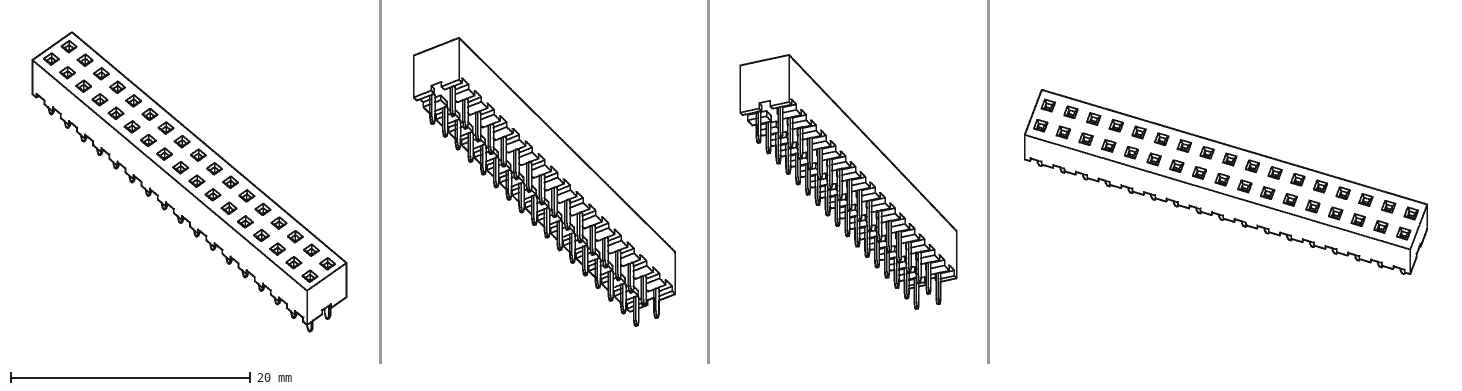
import cadquery as cq

columns = 17
rows = 2
body_length = 34.0
pitch = body_length / columns
body_width = 4.5
body_height = 4.5
total_height = 7.1

groove_width = pitch / 2
groove_depth = 0.5

pin_width = 0.5
pin_thickness = 0.2
tip_width = 0.2
tip_length = 0.5

mouth_size = 0.92
throat_size = 0.5
mouth_depth = 0.2
throat_depth = 0.68

body_bottom = total_height - body_height
groove_ceiling = body_bottom + groove_depth

column_places = [(i - (columns - 1) / 2) * pitch for i in range(columns)]
row_places = [(j - (rows - 1) / 2) * pitch for j in range(rows)]
contact_places = [(x, y) for x in column_places for y in row_places]


def groove(length_x, length_y):
    """Rectangular cutter reaching from the underside up to the groove ceiling."""
    cutter = cq.Workplane("XY").workplane(offset=body_bottom)
    return cutter.rect(length_x, length_y).extrude(groove_depth)


def make_body():
    """Block with one groove under each column and one groove along the middle."""
    body = cq.Workplane("XY").workplane(offset=body_bottom)
    body = body.rect(body_length, body_width).extrude(body_height)
    body = body.cut(groove(body_length, groove_width))
    column_groove = groove(groove_width, body_width)
    for x in column_places:
        body = body.cut(column_groove.translate((x, 0, 0)))
    return body


def cut_sockets(body):
    """Sink a tapered mouth and a straight throat at every contact."""
    mouth = (
        cq.Workplane("XY").workplane(offset=total_height)
        .rect(mouth_size, mouth_size)
        .workplane(offset=-mouth_depth)
        .rect(throat_size, throat_size)
        .loft(ruled=True)
    )
    throat = cq.Workplane("XY").workplane(offset=total_height - mouth_depth)
    throat = throat.rect(throat_size, throat_size).extrude(-throat_depth)
    socket = mouth.union(throat)
    for x, y in contact_places:
        body = body.cut(socket.translate((x, y, 0)))
    return body


def make_pin():
    """Flat pin hanging from the groove ceiling, narrowed towards its tip."""
    outline = [
        (-tip_width / 2, 0),
        (tip_width / 2, 0),
        (pin_width / 2, tip_length),
        (pin_width / 2, groove_ceiling),
        (-pin_width / 2, groove_ceiling),
        (-pin_width / 2, tip_length),
    ]
    return cq.Workplane("XZ").polyline(outline).close().extrude(pin_thickness / 2, both=True)


def add_pins(body):
    """Join one pin to the body below every socket."""
    pin = make_pin()
    for x, y in contact_places:
        body = body.union(pin.translate((x, y, 0)))
    return body


result = add_pins(cut_sockets(make_body()))